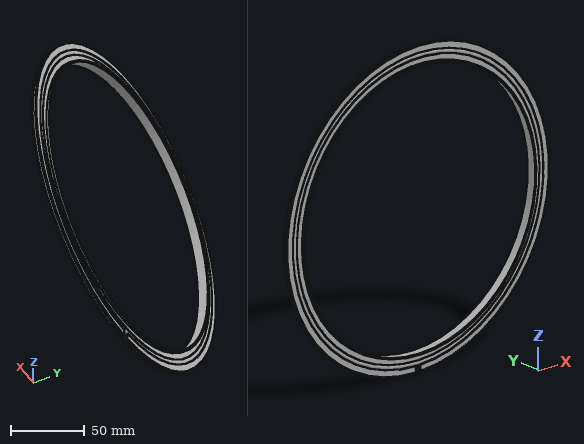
import cadquery as cq
import math

lip_radius = 106.3
lip_thickness = 1.0
lip_width = 8.0
web_thickness = 3.9

seal_radius = 112.75
seal_section_radius = 2.65

rim_radius = 239.49 / 2
slot_width = 4.0
slot_height = 20.0

pin_radius = 1.0
pin_length = 30.0

pin_line_radius = rim_radius - pin_radius
groove_floor_radius = pin_line_radius - pin_radius

bore_radius = lip_radius - lip_thickness
half_lip = lip_width / 2
half_web = web_thickness / 2
seal_half_opening = math.sqrt(seal_section_radius**2 - half_web**2)

section_plane = cq.Plane(origin=(0, 0, 0), xDir=(0, 0, -1), normal=(1, 0, 0))


def turn(profile):
    """Close a (radius, Y) profile and turn it fully around the Y axis."""
    return profile.close().revolve(360, (0, 0, 0), (0, 1, 0))


def turn_round_section(line_radius, section_radius, angle):
    """Sweep a circular section around the Y axis, starting at -Z."""
    section = cq.Workplane(section_plane).center(line_radius, 0).circle(section_radius)
    return section.revolve(angle, (-line_radius, 0, 0), (-line_radius, 1, 0))


def make_centering_ring():
    """T-section ring whose web ends in a concave seat for the seal."""
    seat_edge = seal_radius - seal_half_opening
    seat_bottom = seal_radius - seal_section_radius
    return turn(
        cq.Workplane(section_plane)
        .moveTo(bore_radius, -half_lip)
        .lineTo(lip_radius, -half_lip)
        .lineTo(lip_radius, -half_web)
        .lineTo(seat_edge, -half_web)
        .threePointArc((seat_bottom, 0), (seat_edge, half_web))
        .lineTo(lip_radius, half_web)
        .lineTo(lip_radius, half_lip)
        .lineTo(bore_radius, half_lip)
    )


def make_outer_ring():
    """Flat split ring with a concave seal seat inside and a U groove in its rim."""
    seat_edge = seal_radius + seal_half_opening
    seat_bottom = seal_radius + seal_section_radius
    ring = turn(
        cq.Workplane(section_plane)
        .moveTo(seat_edge, -half_web)
        .lineTo(rim_radius, -half_web)
        .lineTo(rim_radius, -pin_radius)
        .lineTo(pin_line_radius, -pin_radius)
        .threePointArc((groove_floor_radius, 0), (pin_line_radius, pin_radius))
        .lineTo(rim_radius, pin_radius)
        .lineTo(rim_radius, half_web)
        .lineTo(seat_edge, half_web)
        .threePointArc((seat_bottom, 0), (seat_edge, -half_web))
    )
    slot = cq.Workplane("XY").box(slot_width, lip_width, slot_height)
    return ring.cut(slot.translate((0, 0, -rim_radius)))


def make_pin():
    """Arc of round wire, centred on the slot."""
    angle = math.degrees(pin_length / pin_line_radius)
    arc = turn_round_section(pin_line_radius, pin_radius, angle)
    return arc.rotate((0, 0, 0), (0, 1, 0), -angle / 2)


centering_ring = make_centering_ring()
seal = turn_round_section(seal_radius, seal_section_radius, 360)
outer_ring = make_outer_ring()
pin = make_pin()

result = cq.Compound.makeCompound(
    [centering_ring.val(), seal.val(), *outer_ring.solids().vals(), pin.val()]
)